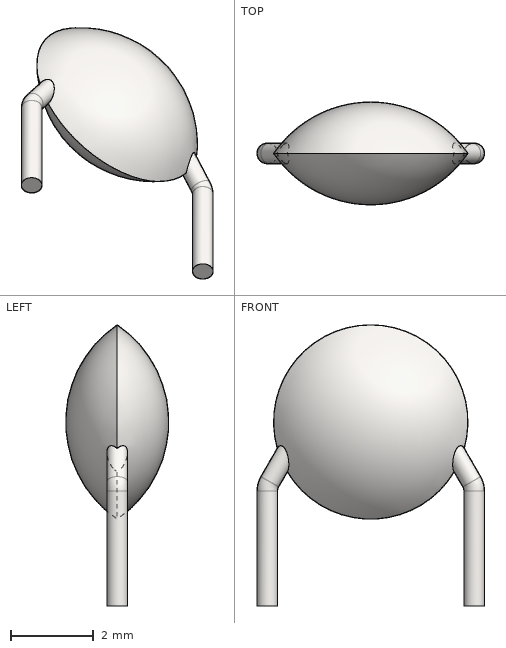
import cadquery as cq
import math


body_diameter = 4.7
body_thickness = 2.5
lead_diameter = 0.5
lead_pitch = 5.0
lead_drop = 2.1
straight_length = 2.78
bend_radius = 0.45
bend_angle = 30.0
leg_length = 1.2

body_radius = body_diameter / 2
half_thickness = body_thickness / 2
body_center_z = body_radius
lead_x = lead_pitch / 2
lead_bottom_z = -lead_drop
bend_start_z = lead_bottom_z + straight_length


def make_body():
    """Two shallow domes meeting at a sharp rim: the overlap of two equal spheres."""
    sphere_radius = (body_radius**2 + half_thickness**2) / (2 * half_thickness)
    center_offset = sphere_radius - half_thickness
    sphere = cq.Workplane("XY").sphere(sphere_radius)
    front_dome = sphere.translate((0, center_offset, body_center_z))
    rear_dome = sphere.translate((0, -center_offset, body_center_z))
    return front_dome.intersect(rear_dome)


def make_right_lead():
    """Wire rising from its tip, then bending inwards into the body."""

    def bend_point(angle_degrees):
        angle = math.radians(angle_degrees)
        return (
            lead_x - bend_radius * (1 - math.cos(angle)),
            bend_start_z + bend_radius * math.sin(angle),
        )

    lean = math.radians(bend_angle)
    bend_end_x, bend_end_z = bend_point(bend_angle)
    leg_end = (
        bend_end_x - leg_length * math.sin(lean),
        bend_end_z + leg_length * math.cos(lean),
    )
    path = (
        cq.Workplane("XZ")
        .moveTo(lead_x, lead_bottom_z)
        .lineTo(lead_x, bend_start_z)
        .threePointArc(bend_point(bend_angle / 2), (bend_end_x, bend_end_z))
        .lineTo(*leg_end)
    )
    section = cq.Workplane("XY", origin=(lead_x, 0, lead_bottom_z)).circle(lead_diameter / 2)
    return section.sweep(path)


right_lead = make_right_lead()
left_lead = right_lead.mirror("YZ")
result = make_body().union(right_lead).union(left_lead)